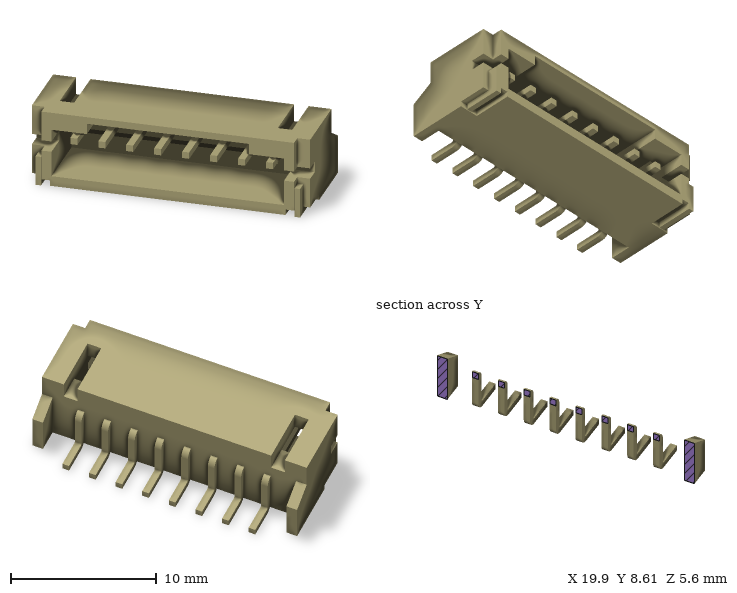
import cadquery as cq
import math


width = 19.9
height = 5.6
standoff = 0.06
housing_depth = 6.0
side_arm_depth = 7.62
side_arm_width = 0.8
side_arm_slope_top = 3.79
side_arm_slope_bottom = 2.86

mouth_half_width = 9.03
step_depth = 0.8

cavity_width = 16.62
cavity_depth = 4.26
cavity_floor = 0.8
cavity_ceiling = 4.32
key_width = 11.58
key_ceiling = 5.1
undercut_top = 2.65
undercut_bottom = 2.05
undercut_slope = 45

latch_slot_bottom = 2.65
latch_slot_top = 3.43
latch_slot_depth = 1.93

relief_inner_x = 7.28
relief_front_y = 2.0

tab_thickness = 0.4
tab_gap = 0.03
tab_height = 2.16
tab_foot_length = 2.88
tab_foot_height = 0.47
notch_inner_x = 8.42
notch_length = 3.0

contact_count = 8
contact_pitch = 2.0
contact_width = 0.5
contact_thickness = 0.48
contact_tip_y = 0.96
contact_top = 3.42
lead_end_y = 8.61
leg_rear_y = 6.52
bend_inner_radius = 0.12

half_width = width / 2


def block(x_range, y_range, z_range):
    """Axis-aligned box given by its limits."""
    size = [high - low for low, high in (x_range, y_range, z_range)]
    corner = (x_range[0], y_range[0], z_range[0])
    return cq.Workplane("XY").box(*size, centered=False).translate(corner)


def side_profile(points, x_range):
    """Prism along X from a (y, z) outline."""
    prism = cq.Workplane("YZ").polyline(points).close().extrude(x_range[1] - x_range[0])
    return prism.translate((x_range[0], 0, 0))


def both_sides(shape):
    """The shape together with its mirror image across the middle plane."""
    return shape.union(shape.mirror("YZ"))


def housing_shell():
    body = block((-half_width, half_width), (0, housing_depth), (standoff, height))
    arm = side_profile(
        [
            (housing_depth, standoff),
            (side_arm_depth, standoff),
            (side_arm_depth, side_arm_slope_bottom),
            (housing_depth, side_arm_slope_top),
        ],
        (half_width - side_arm_width, half_width),
    )
    return body.union(both_sides(arm))


def cavity():
    half_cavity = cavity_width / 2
    half_key = key_width / 2
    main = block((-half_cavity, half_cavity), (0, cavity_depth), (cavity_floor, cavity_ceiling))
    key = block((-half_key, half_key), (0, cavity_depth), (cavity_floor, key_ceiling))
    undercut_run = (undercut_top - undercut_bottom) / math.tan(math.radians(undercut_slope))
    undercut = side_profile(
        [
            (cavity_depth, cavity_floor),
            (cavity_depth + undercut_run, cavity_floor),
            (cavity_depth + undercut_run, undercut_bottom),
            (cavity_depth, undercut_top),
        ],
        (-half_cavity, half_cavity),
    )
    return main.union(key).union(undercut)


def side_cuts():
    corner_step = block((mouth_half_width, half_width), (0, step_depth), (0, height))
    latch_slot = block(
        (cavity_width / 2, half_width), (0, latch_slot_depth), (latch_slot_bottom, latch_slot_top)
    )
    relief_slot = block(
        (relief_inner_x, cavity_width / 2), (relief_front_y, housing_depth), (cavity_ceiling, height)
    )
    floor_notch = block((notch_inner_x, half_width), (0, notch_length), (0, tab_foot_height))
    return both_sides(corner_step.union(latch_slot).union(relief_slot).union(floor_notch))


def solder_tabs():
    tab_inner_x = mouth_half_width + tab_gap
    tab = side_profile(
        [
            (0, 0),
            (tab_foot_length, 0),
            (tab_foot_length, tab_foot_height),
            (step_depth, tab_foot_height),
            (step_depth, tab_height),
            (0, tab_height),
        ],
        (tab_inner_x, tab_inner_x + tab_thickness),
    )
    return both_sides(tab)


def contact(x):
    """Constant-thickness strip: mating tip, leg down behind the rear wall, lead on the seating plane."""
    leg_front_y = leg_rear_y - contact_thickness
    contact_bottom = contact_top - contact_thickness
    bend_outer_radius = bend_inner_radius + contact_thickness
    shoulder_y = leg_rear_y - bend_outer_radius
    heel_y = leg_rear_y + bend_inner_radius
    outline = (
        cq.Workplane("YZ")
        .moveTo(contact_tip_y, contact_top)
        .lineTo(shoulder_y, contact_top)
        .tangentArcPoint((leg_rear_y, contact_top - bend_outer_radius), relative=False)
        .lineTo(leg_rear_y, bend_outer_radius)
        .tangentArcPoint((heel_y, contact_thickness), relative=False)
        .lineTo(lead_end_y, contact_thickness)
        .lineTo(lead_end_y, 0)
        .lineTo(heel_y, 0)
        .tangentArcPoint((leg_front_y, bend_outer_radius), relative=False)
        .lineTo(leg_front_y, contact_top - bend_outer_radius)
        .tangentArcPoint((shoulder_y, contact_bottom), relative=False)
        .lineTo(contact_tip_y, contact_bottom)
        .close()
    )
    return outline.extrude(contact_width).translate((x - contact_width / 2, 0, 0))


result = housing_shell().cut(cavity()).cut(side_cuts()).union(solder_tabs())
for index in range(contact_count):
    contact_x = (index - (contact_count - 1) / 2) * contact_pitch
    result = result.union(contact(contact_x))